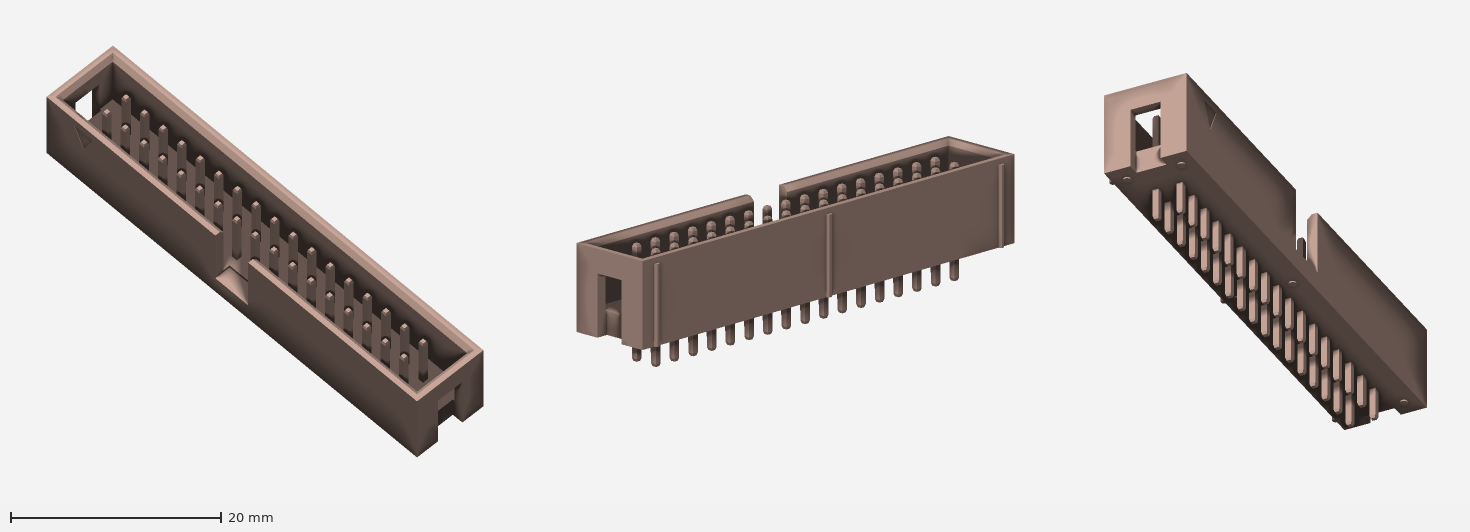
import cadquery as cq

LENGTH = 50.68
WIDTH = 8.8
HEIGHT = 8.82
WALL = 1.1
FLOOR = 2.4
LEAD_IN = 0.5

COLUMNS = 17
ROWS = 2
PITCH = 2.54
PIN_SIZE = 0.64
PIN_TAIL = 3.28
PIN_TOP_DROP = 0.45
TIP_INSET = 0.1
TIP_LENGTH = 0.3

NOTCH_WIDTH = 4.5
NOTCH_DEPTH = 1.88
NOTCH_BOTTOM = 2.1

SLOT_WIDTH = 3.2
SLOT_DEPTH = 1.3
SLOT_TOP_DROP = 2.45

END_STATION = 23.45
STATIONS = (-END_STATION, 0, END_STATION)
FOOT_DIAMETER = 0.8
FOOT_HEIGHT = 0.15
FOOT_OFFSET = 2.9
RIB_PROJECTION = 0.3
RIB_WIDTH = 0.6
RIB_CHAMFER = 0.15
RIB_TOP_DROP = 0.6

MARK_SIZE = 2.6
MARK_TOP_DROP = 0.95
MARK_DEPTH = 0.1

SLOT_TOP = HEIGHT - SLOT_TOP_DROP
RIB_HEIGHT = HEIGHT - RIB_TOP_DROP
MARK_TOP = HEIGHT - MARK_TOP_DROP
FRONT_FACE = -WIDTH / 2
BACK_FACE = WIDTH / 2
FIRST_COLUMN = -(COLUMNS - 1) * PITCH / 2
FIRST_ROW = -(ROWS - 1) * PITCH / 2


def box(x_size, y_size, z_low, z_high, x=0, y=0):
    """Box centred on (x, y) between two heights."""
    return cq.Workplane("XY", origin=(x, y, z_low)).rect(x_size, y_size).extrude(z_high - z_low)


def make_shell():
    """Open-topped housing with a sloped lead-in round the mouth of its cavity."""
    cavity_length = LENGTH - 2 * WALL
    cavity_width = WIDTH - 2 * WALL
    cavity = box(cavity_length, cavity_width, FLOOR, HEIGHT)
    lead_in = (
        cq.Workplane("XY", origin=(0, 0, HEIGHT - LEAD_IN))
        .rect(cavity_length, cavity_width)
        .workplane(offset=LEAD_IN)
        .rect(cavity_length + 2 * LEAD_IN, cavity_width + 2 * LEAD_IN)
        .loft(ruled=True)
    )
    return box(LENGTH, WIDTH, 0, HEIGHT).cut(cavity).cut(lead_in)


def make_notch():
    """Cutter for the polarising notch, which dips slightly below the cavity floor."""
    return box(NOTCH_WIDTH, NOTCH_DEPTH, NOTCH_BOTTOM, HEIGHT, y=FRONT_FACE + NOTCH_DEPTH / 2)


def make_end_slot(side):
    """Cutter for the end-wall slot, open at the bottom; side is -1 or 1."""
    x = side * (LENGTH - SLOT_DEPTH) / 2
    return box(SLOT_DEPTH, SLOT_WIDTH, 0, SLOT_TOP, x=x)


def make_mark():
    """Cutter for the downward-pointing pin-one triangle above the first column."""
    half = MARK_SIZE / 2
    corners = [
        (FIRST_COLUMN - half, MARK_TOP),
        (FIRST_COLUMN + half, MARK_TOP),
        (FIRST_COLUMN, MARK_TOP - MARK_SIZE),
    ]
    engraved_floor = cq.Workplane("XZ", origin=(0, FRONT_FACE + MARK_DEPTH, 0))
    return engraved_floor.polyline(corners).close().extrude(MARK_DEPTH)


def make_pin(x, y):
    """Square pin with a tapered tip at each end."""
    pin = box(PIN_SIZE, PIN_SIZE, -PIN_TAIL, HEIGHT - PIN_TOP_DROP, x=x, y=y)
    return pin.faces("<Z or >Z").chamfer(TIP_LENGTH, TIP_INSET)


def make_foot(x, y):
    """Round standoff foot below the housing."""
    return cq.Workplane("XY", origin=(x, y, -FOOT_HEIGHT)).circle(FOOT_DIAMETER / 2).extrude(FOOT_HEIGHT)


def make_rib(x):
    """Upright crush rib on the +Y wall with chamfered outer edges."""
    rib = box(RIB_WIDTH, RIB_PROJECTION, 0, RIB_HEIGHT, x=x, y=BACK_FACE + RIB_PROJECTION / 2)
    return rib.edges("|Z and >Y").chamfer(RIB_CHAMFER)


def make_pins():
    """Grid of pins centred on the housing."""
    pins = cq.Workplane("XY")
    for column in range(COLUMNS):
        for row in range(ROWS):
            pins = pins.add(make_pin(FIRST_COLUMN + column * PITCH, FIRST_ROW + row * PITCH))
    return pins


result = make_shell().cut(make_notch()).cut(make_mark())
for side in (-1, 1):
    result = result.cut(make_end_slot(side))
for station in STATIONS:
    result = result.union(make_rib(station))
    for foot_y in (-FOOT_OFFSET, FOOT_OFFSET):
        result = result.union(make_foot(station, foot_y))
result = result.union(make_pins())
result = result.solids()